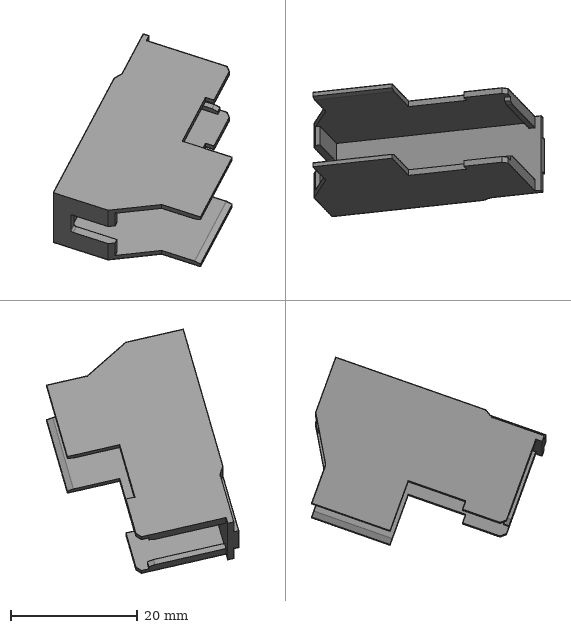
import cadquery as cq

length = 35.3
width = 23.4
height = 12.5

plate = 0.95
back_wall = 1.8
front_wall = 1.3

front_flat = 9.4
wing_start_x = 16.75
wing_front_y = 4.3
wing_rear_y = 17.47
waist_x = 14.85
hook_x = 16.3
hook_front_y = 27.1
rear_lip = 1.05
corner_x = 0.7
corner_y = 0.8

front_wall_x = front_flat + plate
slot_start_x = 3.05
slot_height = 4.3
slot_radius = 0.35

bevel_x = 1.0
bevel_z = 0.3
rib_end_x = 14.4

recess_depth = 0.8
recess_height = 3.35
recess_floor_length = 8.75
recess_length = 10.13

body_rear_y = length - rear_lip


def mirrored_pair(solid):
    """Join a lower feature with its mirror image about mid height."""
    return solid.union(solid.mirror("XY", (0, 0, height / 2)))


def box(x0, x1, y0, y1, z0, z1):
    return cq.Workplane("XY").box(x1 - x0, y1 - y0, z1 - z0, centered=False).translate((x0, y0, z0))


def bevel_cutter(end_x, inner_z, y0, y1):
    """Wedge that bevels the inner edge at the +X end of a lower plate."""
    return (
        cq.Workplane("XZ", origin=(0, y0, 0))
        .moveTo(end_x - bevel_x, inner_z)
        .lineTo(end_x, inner_z)
        .lineTo(end_x, inner_z - bevel_z)
        .close()
        .extrude(-(y1 - y0))
    )


def outline():
    """Full-height block with the stepped outline of the side plates."""
    return (
        cq.Workplane("XY")
        .polyline([
            (0, 0),
            (front_flat, 0),
            (wing_start_x, wing_front_y),
            (width, wing_front_y),
            (width, wing_rear_y),
            (waist_x, wing_rear_y),
            (waist_x, hook_front_y),
            (hook_x, hook_front_y),
            (hook_x, body_rear_y - corner_y),
            (hook_x - corner_x, body_rear_y),
            (back_wall, body_rear_y),
            (back_wall, length),
            (0, length),
        ])
        .close()
        .extrude(height)
    )


def cavity():
    """Space between the plates, leaving the back wall and the short front wall."""
    behind_front_wall = box(back_wall, width, front_wall, length, plate, height - plate)
    beside_front_wall = box(front_wall_x, width, 0, front_wall, plate, height - plate)
    return behind_front_wall.union(beside_front_wall)


def front_slot():
    slot = box(
        slot_start_x, width, 0, front_wall,
        (height - slot_height) / 2, (height + slot_height) / 2,
    )
    return slot.edges("|Y and <X").fillet(slot_radius)


def rear_ribs():
    """Low ribs across the rear inner edges of the two plates."""
    front_y = body_rear_y - plate
    rib = box(back_wall, rib_end_x, front_y, body_rear_y, plate, 2 * plate)
    rib = rib.cut(bevel_cutter(rib_end_x, 2 * plate, front_y, body_rear_y))
    return mirrored_pair(rib)


def back_recesses():
    """Shallow recesses with a sloped front end at both edges of the back face."""
    recess = (
        cq.Workplane("XY")
        .polyline([
            (0, length),
            (recess_depth, length),
            (recess_depth, length - recess_floor_length),
            (0, length - recess_length),
        ])
        .close()
        .extrude(recess_height)
    )
    return mirrored_pair(recess)


wing_bevels = mirrored_pair(bevel_cutter(width, plate, wing_front_y, wing_rear_y))

result = (
    outline()
    .cut(cavity())
    .cut(front_slot())
    .union(rear_ribs())
    .cut(wing_bevels)
    .cut(back_recesses())
)